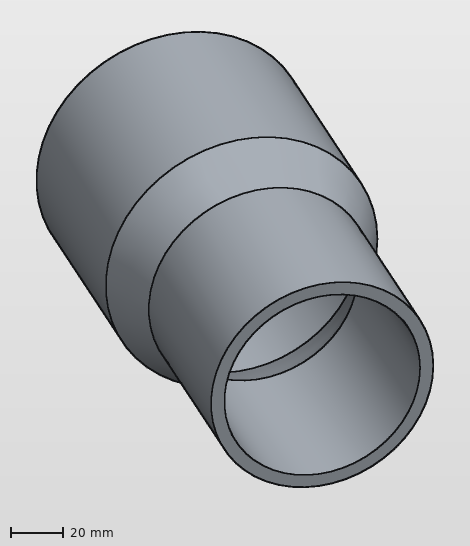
import cadquery as cq

total_length = 180.0
large_length = 83.3
taper_length = 22.0

large_outer_diameter = 110.0
large_wall = 6.7
small_outer_diameter = 90.0
small_wall = 5.4

large_bore_diameter = large_outer_diameter - 2 * large_wall
small_bore_diameter = small_outer_diameter - 2 * small_wall
taper_end = large_length + taper_length


def stepped_body(large_diameter, small_diameter):
    """Solid of revolution: large cylinder, cone, then small cylinder."""
    large_radius = large_diameter / 2
    small_radius = small_diameter / 2
    return (
        cq.Workplane("XY")
        .moveTo(0, 0)
        .lineTo(0, large_radius)
        .lineTo(large_length, large_radius)
        .lineTo(taper_end, small_radius)
        .lineTo(total_length, small_radius)
        .lineTo(total_length, 0)
        .close()
        .revolve(360, (0, 0, 0), (1, 0, 0))
    )


outside = stepped_body(large_outer_diameter, small_outer_diameter)
bore = stepped_body(large_bore_diameter, small_bore_diameter)
result = outside.cut(bore)